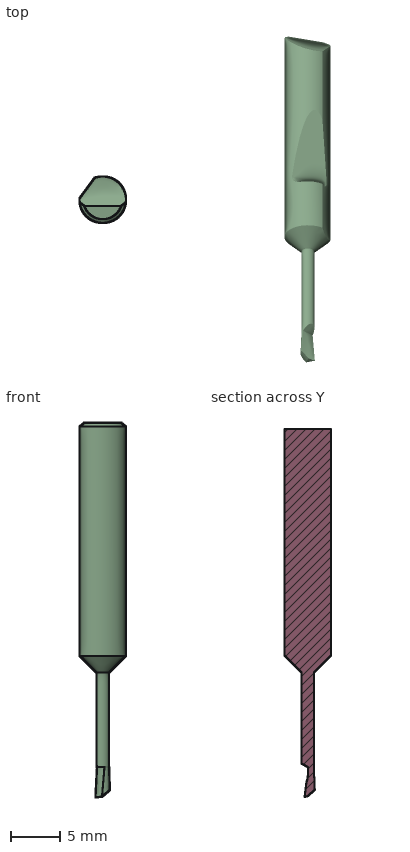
import cadquery as cq
import math


total_length = 38.1
shank_diameter = 4.76
shank_radius = shank_diameter / 2
neck_radius = 0.66
neck_top = 12.7
cone_height = shank_radius - neck_radius
shank_bottom = neck_top + cone_height
top_chamfer = 0.4
clearance = 2 * shank_diameter

end_slope_drop = 3.0
flat_distance = 1.99
flat_angle = 143.5

notch_top = 28.1
notch_bottom = 19.6
notch_radius = 1.0
notch_slope = math.radians(9.5)
notch_arc_inset = 0.26

tip_top = 3.1
rake_angle = 25.0
runout_slope = 50.0
top_heel_angle = -75.0
top_back_angle = -25.0
cutting_corner = (-0.76, -0.05)
tip_heel = (-0.08, -0.8)
tip_back = (0.64, -0.48)
tip_rear_corner = (0.75, 0.15)
end_relief_start = (-0.05, 0.1)
corner_relief_end = (0.74, 0.78)


def polar(radius, angle):
    """Point at a radius and an angle in degrees from +X."""
    radians = math.radians(angle)
    return (radius * math.cos(radians), radius * math.sin(radians))


def side_prism(outline):
    """Long prism along X from a closed YZ outline."""
    return outline.close().extrude(clearance, both=True)


def make_shank():
    shank = (
        cq.Workplane("XY")
        .workplane(offset=shank_bottom)
        .circle(shank_radius)
        .extrude(total_length - shank_bottom)
        .faces(">Z")
        .chamfer(top_chamfer)
    )
    cone = (
        cq.Workplane("XY")
        .workplane(offset=neck_top)
        .circle(neck_radius)
        .workplane(offset=cone_height)
        .circle(shank_radius)
        .loft()
    )
    return shank.union(cone)


def end_slope():
    """45 degree cut across the +Y side of the shank's top."""
    slope_bottom = total_length - end_slope_drop
    return side_prism(
        cq.Workplane("YZ")
        .moveTo(shank_radius, slope_bottom)
        .lineTo(shank_radius + clearance, slope_bottom - clearance)
        .lineTo(shank_radius + clearance, total_length + clearance)
        .lineTo(shank_radius - end_slope_drop - clearance, total_length + clearance)
    )


def side_flat():
    """Flat along the whole shank and into the cone."""
    return (
        cq.Workplane("XY")
        .box(clearance, clearance, total_length, centered=(False, True, False))
        .translate((flat_distance, 0, neck_top))
        .rotate((0, 0, 0), (0, 0, 1), flat_angle)
    )


def clamp_notch():
    """Notch across the +Y side: long leaning wall, then an arc to a flat ledge."""
    centre_y = shank_radius - notch_arc_inset
    centre_z = notch_bottom + notch_radius
    tangent_y = centre_y - notch_radius * math.cos(notch_slope)
    tangent_z = centre_z - notch_radius * math.sin(notch_slope)
    middle_angle = (notch_slope + math.pi / 2) / 2
    middle_y = centre_y - notch_radius * math.cos(middle_angle)
    middle_z = centre_z - notch_radius * math.sin(middle_angle)
    return side_prism(
        cq.Workplane("YZ")
        .moveTo(shank_radius, notch_top)
        .lineTo(tangent_y, tangent_z)
        .threePointArc((middle_y, middle_z), (centre_y, notch_bottom))
        .lineTo(shank_radius + clearance, notch_bottom)
        .lineTo(shank_radius + clearance, notch_top)
    )


def tip_section(height, corner, heel, back, rear_corner):
    """Tip outline at a height: flat flank, round back and flat rake."""
    return (
        cq.Workplane("XY", origin=(0, 0, height))
        .moveTo(*corner)
        .lineTo(*heel)
        .threePointArc(back, rear_corner)
        .close()
        .val()
    )


def make_tip():
    top = tip_section(
        tip_top,
        polar(neck_radius, rake_angle + 180),
        polar(neck_radius, top_heel_angle),
        polar(neck_radius, top_back_angle),
        polar(neck_radius, rake_angle),
    )
    bottom = tip_section(0, cutting_corner, tip_heel, tip_back, tip_rear_corner)
    return cq.Workplane(cq.Solid.makeLoft([bottom, top], True))


def end_relief():
    """Material removed below the end cutting edge and at the tip's +X corner."""
    return (
        cq.Workplane("XZ")
        .moveTo(cutting_corner[0], 0)
        .lineTo(*end_relief_start)
        .lineTo(*corner_relief_end)
        .lineTo(clearance, corner_relief_end[1])
        .lineTo(clearance, -clearance)
        .lineTo(cutting_corner[0], -clearance)
        .close()
        .extrude(clearance, both=True)
    )


def rake_runout():
    """Sloped cut where the rake face runs out through the neck."""
    runout_height = clearance * math.tan(math.radians(runout_slope))
    return side_prism(
        cq.Workplane("YZ")
        .moveTo(0, tip_top)
        .lineTo(clearance, tip_top)
        .lineTo(clearance, tip_top + runout_height)
    ).rotate((0, 0, 0), (0, 0, 1), rake_angle)


def make_neck():
    neck = (
        cq.Workplane("XY")
        .workplane(offset=tip_top)
        .circle(neck_radius)
        .extrude(neck_top - tip_top)
    )
    return neck.cut(rake_runout())


shank = make_shank().cut(end_slope()).cut(side_flat()).cut(clamp_notch())
tip = make_tip().cut(end_relief())
result = shank.union(make_neck()).union(tip)